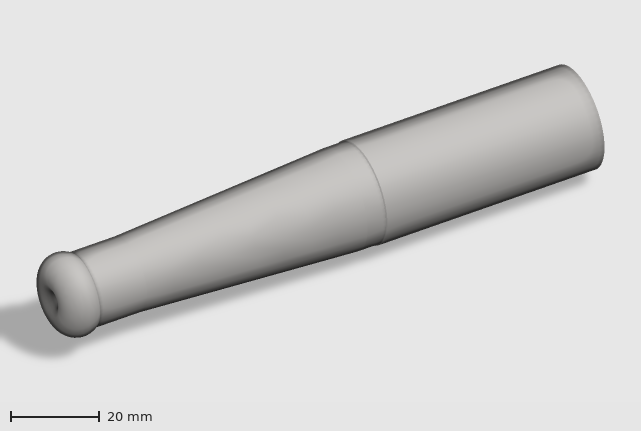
import cadquery as cq
import math

shank_diameter = 25.0
collar_diameter = 24.5
neck_diameter = 18.0
bead_diameter = 20.0

total_length = 136.0
shank_length = 56.0
collar_length = 5.0
taper_length = 55.0

shank_radius = shank_diameter / 2
collar_radius = collar_diameter / 2
neck_radius = neck_diameter / 2

bead_round = bead_diameter / 4

shank_start = total_length - shank_length
chamfer_start = shank_start - (shank_radius - collar_radius)
taper_end = shank_start - collar_length
taper_start = taper_end - taper_length
bead_end = bead_round + math.sqrt(bead_round**2 - (neck_radius - bead_round) ** 2)


def make_pin():
    """Revolve the half profile (length along Y, radius along Z) about the Y axis."""
    dimple_bottom = (bead_round, 0)
    profile = (
        cq.Workplane("YZ")
        .moveTo(*dimple_bottom)
        .threePointArc((0, bead_round), (bead_end, neck_radius))
        .lineTo(taper_start, neck_radius)
        .lineTo(taper_end, collar_radius)
        .lineTo(chamfer_start, collar_radius)
        .lineTo(shank_start, shank_radius)
        .lineTo(total_length, shank_radius)
        .lineTo(total_length, 0)
        .close()
    )
    return profile.revolve(360, (0, 0, 0), (1, 0, 0))


result = make_pin()